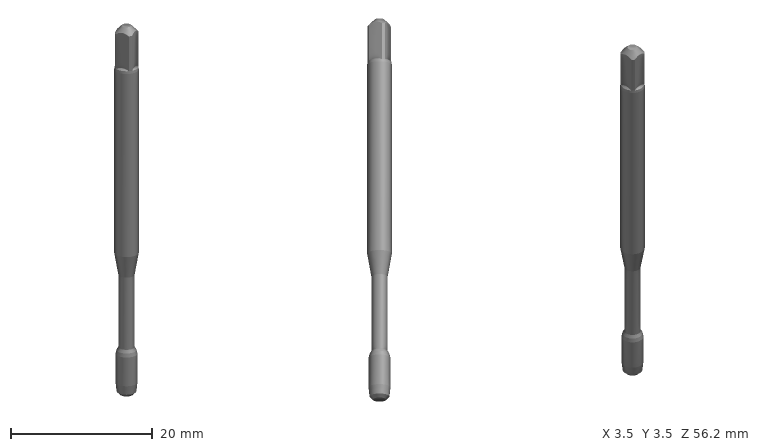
import cadquery as cq

total_length = 56.2

shank_diameter = 3.5
shank_bottom = 21.6
shoulder_edge = 49.5
shoulder_ledge = 49.9
shoulder_top = 50.2
neck_diameter = 2.3
neck_top = 18.2
neck_bottom = 7.2

drive_width = 2.7
drive_corner_diameter = 3.4
drive_tip_diameter = 1.4

thread_diameter = 3.1
core_diameter = 2.8
core_top = 6.75
thread_top = 6.2
thread_lead_top = 1.8
core_bottom_chamfer = 0.45

shank_radius = shank_diameter / 2
neck_radius = neck_diameter / 2
core_radius = core_diameter / 2
thread_radius = thread_diameter / 2


def revolve_profile(points):
    """Turn a closed (radius, height) outline around the Z axis."""
    return cq.Workplane("XZ").polyline(points).close().revolve(360, (0, 0, 0), (0, 1, 0))


def make_square_drive():
    """Square with rounded corners and a 45 degree conical tip."""
    corner_radius = drive_corner_diameter / 2
    tip_radius = drive_tip_diameter / 2
    tip_height = corner_radius - tip_radius
    turned_blank = revolve_profile([
        (0, shoulder_edge),
        (corner_radius, shoulder_edge),
        (corner_radius, total_length - tip_height),
        (tip_radius, total_length),
        (0, total_length),
    ])
    square_bar = (
        cq.Workplane("XY")
        .workplane(offset=shoulder_edge)
        .rect(drive_width, drive_width)
        .extrude(total_length - shoulder_edge)
    )
    return turned_blank.intersect(square_bar)


def make_shank():
    """Core, neck, tapered shank and square drive in one solid."""
    turned_shank = revolve_profile([
        (0, 0),
        (core_radius - core_bottom_chamfer, 0),
        (core_radius, core_bottom_chamfer),
        (core_radius, core_top),
        (neck_radius, neck_bottom),
        (neck_radius, neck_top),
        (shank_radius, shank_bottom),
        (shank_radius, shoulder_edge),
        (drive_corner_diameter / 2, shoulder_ledge),
        (drive_width / 2, shoulder_top),
        (0, shoulder_top),
    ])
    return turned_shank.union(make_square_drive())


def make_thread_sleeve():
    """Sleeve around the core, tapering to the core at both ends."""
    return revolve_profile([
        (core_radius, core_bottom_chamfer),
        (thread_radius, thread_lead_top),
        (thread_radius, thread_top),
        (core_radius, core_top),
    ])


shank = make_shank()
thread_sleeve = make_thread_sleeve()

result = cq.Compound.makeCompound([shank.val(), thread_sleeve.val()])